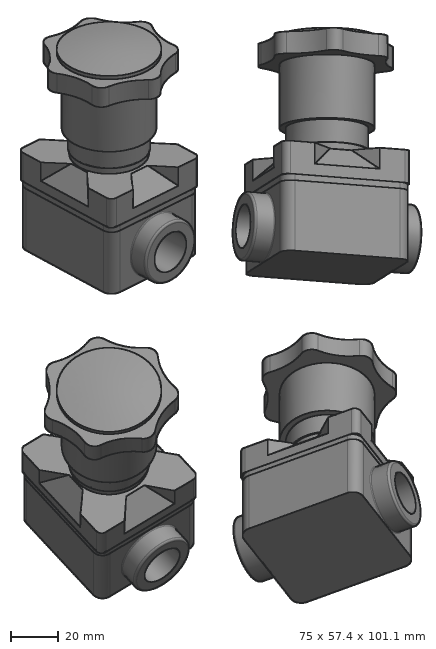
import cadquery as cq
import math

block_length = 57.0
block_width = 52.0
body_height = 30.4
body_corner_radius = 5.0
overall_length = 75.0
port_diameter = 29.2
port_height = 15.1
port_end_radius = 1.0
port_root_radius = 0.4
bore_diameter = 18.6
bore_depth = 20.2

diaphragm_top = 33.2

cover_top = 47.4
cover_corner_radius = 2.9
pocket_depth = 9.2
pocket_inner_width = 9.7
pocket_y_outer_width = 29.0
pocket_y_reach = 8.5
pocket_x_outer_width = 26.5
pocket_x_reach = 9.9

neck_diameter = 33.9
collar_diameter = 35.0
collar_bottom = 50.4
sleeve_diameter = 40.2
sleeve_bottom = 60.3

wheel_bottom = 87.7
wheel_top = 97.2
lobe_count = 7
lobe_diameter = 10.0
lobe_center_radius = 24.3
valley_radius = 25.1
dome_diameter = 44.3
dome_rim = 98.9
overall_height = 101.1


def rounded_block(bottom, top, corner_radius):
    """Rectangular slab with rounded vertical corners."""
    return (
        cq.Workplane("XY", origin=(0, 0, bottom))
        .rect(block_length, block_width)
        .extrude(top - bottom)
        .edges("|Z")
        .fillet(corner_radius)
    )


def cylinder(diameter, bottom, top):
    return cq.Workplane("XY", origin=(0, 0, bottom)).circle(diameter / 2).extrude(top - bottom)


def port():
    """Port on the +X end, rounded at its rim and flared where it meets the block."""
    face_x = block_length / 2
    end_x = overall_length / 2
    radius = port_diameter / 2
    rim_mid = port_end_radius * (1 - math.sqrt(0.5))
    root_mid = port_root_radius * (1 - math.sqrt(0.5))
    return (
        cq.Workplane("XY", origin=(0, 0, port_height))
        .moveTo(face_x, 0)
        .lineTo(face_x, radius + port_root_radius)
        .threePointArc(
            (face_x + root_mid, radius + root_mid),
            (face_x + port_root_radius, radius),
        )
        .lineTo(end_x - port_end_radius, radius)
        .threePointArc(
            (end_x - rim_mid, radius - rim_mid),
            (end_x, radius - port_end_radius),
        )
        .lineTo(end_x, 0)
        .close()
        .revolve(360, (0, 0, 0), (1, 0, 0))
    )


def port_bore():
    """Blind bore entering the port on the +X end."""
    return (
        cq.Workplane("YZ", origin=(overall_length / 2 - bore_depth, 0, port_height))
        .circle(bore_diameter / 2)
        .extrude(bore_depth)
    )


def make_body():
    body = rounded_block(0, body_height, body_corner_radius)
    for angle in (0, 180):
        body = body.union(port().rotate((0, 0, 0), (0, 0, 1), angle))
        body = body.cut(port_bore().rotate((0, 0, 0), (0, 0, 1), angle))
    return body


def side_pocket(face_distance, outer_width, reach):
    """Pocket in the +X side: floor rises inward to the top, walls converge inward."""
    inner_distance = face_distance - reach
    plan = (
        cq.Workplane("XY", origin=(0, 0, cover_top - pocket_depth))
        .polyline([
            (face_distance, -outer_width / 2),
            (face_distance, outer_width / 2),
            (inner_distance, pocket_inner_width / 2),
            (inner_distance, -pocket_inner_width / 2),
        ])
        .close()
        .extrude(pocket_depth)
    )
    wedge = (
        cq.Workplane("XZ")
        .polyline([
            (face_distance, cover_top - pocket_depth),
            (face_distance, cover_top),
            (inner_distance, cover_top),
        ])
        .close()
        .extrude(outer_width / 2, both=True)
    )
    return plan.intersect(wedge)


def make_cover():
    cover = rounded_block(diaphragm_top, cover_top, cover_corner_radius)
    x_pocket = side_pocket(block_length / 2, pocket_x_outer_width, pocket_x_reach)
    y_pocket = side_pocket(block_width / 2, pocket_y_outer_width, pocket_y_reach)
    for angle in (0, 180):
        cover = cover.cut(x_pocket.rotate((0, 0, 0), (0, 0, 1), angle))
        cover = cover.cut(y_pocket.rotate((0, 0, 0), (0, 0, 1), angle + 90))
    return cover


def polar(radius, angle):
    return (radius * math.cos(angle), radius * math.sin(angle))


def make_wheel():
    """Handwheel outline of convex lobe arcs tangent to concave valley arcs."""
    pitch = 2 * math.pi / lobe_count
    half_pitch = pitch / 2
    lobe_radius = lobe_diameter / 2
    tip_radius = lobe_center_radius + lobe_radius

    projection = lobe_center_radius * math.cos(half_pitch)
    center_gap_squared = lobe_center_radius**2 + valley_radius**2 - 2 * projection * valley_radius
    valley_arc_radius = (center_gap_squared - lobe_radius**2) / (
        2 * (lobe_radius + projection - valley_radius)
    )

    valley_x, valley_y = polar(valley_radius + valley_arc_radius, half_pitch)
    share = lobe_radius / (lobe_radius + valley_arc_radius)
    tangent_x = lobe_center_radius + share * (valley_x - lobe_center_radius)
    tangent_y = share * valley_y
    tangent_radius = math.hypot(tangent_x, tangent_y)
    tangent_angle = math.atan2(tangent_y, tangent_x)

    start = polar(tangent_radius, -tangent_angle)
    outline = cq.Workplane("XY", origin=(0, 0, wheel_bottom)).moveTo(*start)
    for index in range(lobe_count):
        lobe_angle = index * pitch
        outline = outline.threePointArc(
            polar(tip_radius, lobe_angle),
            polar(tangent_radius, lobe_angle + tangent_angle),
        ).threePointArc(
            polar(valley_radius, lobe_angle + half_pitch),
            polar(tangent_radius, lobe_angle + pitch - tangent_angle),
        )
    return outline.close().extrude(wheel_top - wheel_bottom)


def make_dome():
    """Short disc closed by a shallow spherical crown."""
    rim_radius = dome_diameter / 2
    crown_height = overall_height - dome_rim
    sphere_radius = (rim_radius**2 + crown_height**2) / (2 * crown_height)
    mid_radius = rim_radius / 2
    mid_height = overall_height - sphere_radius + math.sqrt(sphere_radius**2 - mid_radius**2)
    return (
        cq.Workplane("XZ")
        .moveTo(0, wheel_top)
        .lineTo(rim_radius, wheel_top)
        .lineTo(rim_radius, dome_rim)
        .threePointArc((mid_radius, mid_height), (0, overall_height))
        .close()
        .revolve(360, (0, 0, 0), (0, 1, 0))
    )


def make_bonnet():
    """Cover, stepped neck, sleeve and handwheel as one solid."""
    return (
        make_cover()
        .union(cylinder(neck_diameter, cover_top, collar_bottom))
        .union(cylinder(collar_diameter, collar_bottom, sleeve_bottom))
        .union(cylinder(sleeve_diameter, sleeve_bottom, wheel_bottom))
        .union(make_wheel())
        .union(make_dome())
    )


body = make_body()
diaphragm = rounded_block(body_height, diaphragm_top, body_corner_radius)
bonnet = make_bonnet()

result = cq.Compound.makeCompound([body.val(), diaphragm.val(), bonnet.val()])